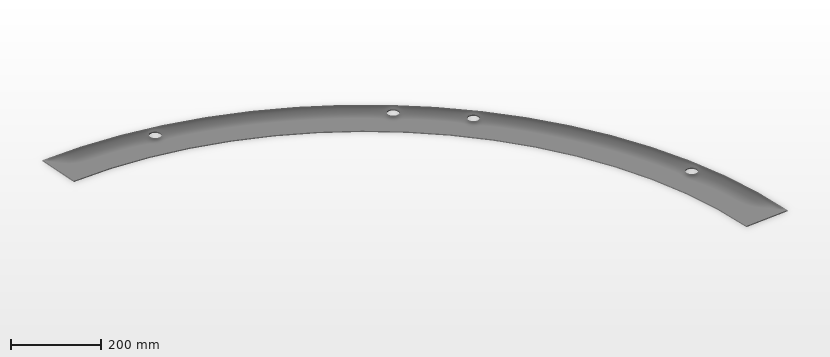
import cadquery as cq
import math

outer_radius = 1177.0
strip_width = 114.0
thickness = 3.2
inner_radius = outer_radius - strip_width

hole_diameter = 28.0
hole_circle_radius = 1144.0
middle_angle = 135.0
hole_offsets = (4.5, 31.6)


def polar_point(radius, angle):
    """Point at the given radius and angle in degrees."""
    return (
        radius * math.cos(math.radians(angle)),
        radius * math.sin(math.radians(angle)),
    )


strip = (
    cq.Workplane("XY")
    .moveTo(-outer_radius, 0)
    .threePointArc(polar_point(outer_radius, middle_angle), (0, outer_radius))
    .lineTo(0, inner_radius)
    .threePointArc(polar_point(inner_radius, middle_angle), (-inner_radius, 0))
    .close()
    .extrude(thickness)
)

hole_centers = [
    polar_point(hole_circle_radius, middle_angle + side * offset)
    for offset in hole_offsets
    for side in (-1, 1)
]
holes = (
    cq.Workplane("XY")
    .pushPoints(hole_centers)
    .circle(hole_diameter / 2)
    .extrude(thickness)
)

result = strip.cut(holes)